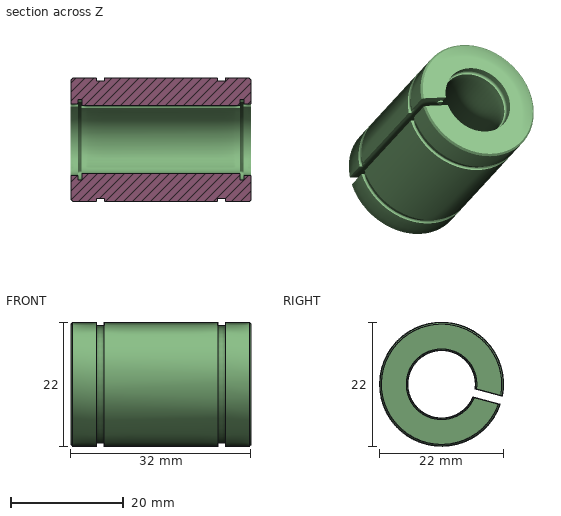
import cadquery as cq

length = 32.0
outer_diameter = 22.0
bore_diameter = 12.0
edge_chamfer = 0.32

groove_outer_span = 22.85
groove_width = 1.3
groove_diameter = 20.93

counterbore_diameter = 12.55
counterbore_depth = 1.3

undercut_diameter = 14.2
undercut_width = 0.6

slot_width = 1.5
slot_angle = -15.0


def cylinder_along_x(diameter, start, end):
    return cq.Workplane("YZ", origin=(start, 0, 0)).circle(diameter / 2).extrude(end - start)


def retaining_groove(start):
    end = start + groove_width
    blank = cylinder_along_x(outer_diameter + 2 * edge_chamfer, start, end)
    return blank.cut(cylinder_along_x(groove_diameter, start, end))


def radial_slot():
    slot = cq.Workplane("XY").box(length, outer_diameter, slot_width, centered=(True, False, True))
    return slot.rotate((0, 0, 0), (1, 0, 0), slot_angle)


half_length = length / 2
result = cylinder_along_x(outer_diameter, -half_length, half_length)
result = result.edges("%CIRCLE").chamfer(edge_chamfer)
result = result.cut(cylinder_along_x(bore_diameter, -half_length, half_length))

for side in (-1, 1):
    end_face = side * half_length
    counterbore_floor = end_face - side * counterbore_depth
    undercut_floor = counterbore_floor - side * undercut_width
    result = result.cut(cylinder_along_x(counterbore_diameter, end_face, counterbore_floor))
    result = result.cut(cylinder_along_x(undercut_diameter, counterbore_floor, undercut_floor))

for groove_start in (-groove_outer_span / 2, groove_outer_span / 2 - groove_width):
    result = result.cut(retaining_groove(groove_start))

result = result.cut(radial_slot())